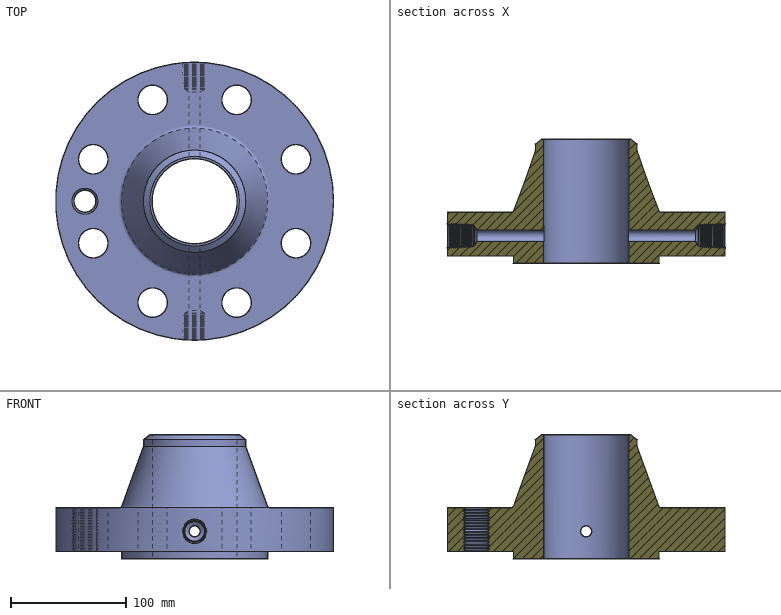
import cadquery as cq
import math


flange_diameter = 241.3
flange_thickness = 38.1
face_diameter = 127.0
face_height = 6.3
flange_top = face_height + flange_thickness

total_height = 107.9
bore_diameter = 73.5
hub_base_diameter = 127.6
hub_fillet_radius = 3.0
weld_end_diameter = 88.8
weld_end_length = 5.8
bevel_height = 4.3
bevel_top_diameter = 77.7

bolt_hole_count = 8
bolt_circle_diameter = 190.5
bolt_hole_diameter = 25.3

jack_minor_diameter = 18.8
jack_major_diameter = 22.5
jack_thread_count = 14

tap_height = face_height + 17.5
tap_mouth_diameter = 21.2
tap_end_diameter = 19.8
tap_thread_depth = 1.33
tap_thread_pitch = 1.8
tap_thread_count = 13
tap_depth = tap_thread_count * tap_thread_pitch
tap_tip_angle = 118.0
tap_passage_diameter = 9.5

run_out = 2.5


def flange_body():
    bevel_bottom = total_height - bevel_height
    cone_top = bevel_bottom - weld_end_length
    profile = (
        cq.Workplane("XZ")
        .lineTo(face_diameter / 2, 0)
        .lineTo(face_diameter / 2, face_height)
        .lineTo(flange_diameter / 2, face_height)
        .lineTo(flange_diameter / 2, flange_top)
        .lineTo(hub_base_diameter / 2, flange_top)
        .lineTo(weld_end_diameter / 2, cone_top)
        .lineTo(weld_end_diameter / 2, bevel_bottom)
        .lineTo(bevel_top_diameter / 2, total_height)
        .lineTo(0, total_height)
        .close()
    )
    body = profile.revolve(360, (0, 0, 0), (0, 1, 0))
    step_face = body.faces(cq.selectors.NearestToPointSelector((0, 0, flange_top)))
    hub_base_edge = step_face.edges(cq.selectors.RadiusNthSelector(0))
    return hub_base_edge.fillet(hub_fillet_radius)


def thread_points(end_radius, mouth_radius, length, count, depth):
    """Zigzag of (radius, height) from a groove bottom at height 0 to one at the mouth."""
    points = []
    half_turns = 2 * count
    for step in range(half_turns + 1):
        share = step / half_turns
        radius = end_radius + share * (mouth_radius - end_radius)
        if step % 2:
            radius -= depth
        points.append((radius, share * length))
    return points


def revolved_cutter(outline):
    """Solid of revolution about Z from (radius, height) points, closed along the axis."""
    bottom = (0, outline[0][1])
    top = (0, outline[-1][1])
    profile = cq.Workplane("XZ").polyline([bottom] + outline + [top]).close()
    return profile.revolve(360, (0, 0, 0), (0, 1, 0))


def bolt_holes():
    first_angle = 180 / bolt_hole_count
    return (
        cq.Workplane("XY")
        .polarArray(bolt_circle_diameter / 2, first_angle, 360, bolt_hole_count)
        .circle(bolt_hole_diameter / 2)
        .extrude(flange_top + run_out)
    )


def jack_screw_hole():
    radius = jack_major_diameter / 2
    depth = (jack_major_diameter - jack_minor_diameter) / 2
    thread = thread_points(radius, radius, flange_thickness, jack_thread_count, depth)
    below = (radius, -run_out)
    above = (radius, flange_thickness + run_out)
    cutter = revolved_cutter([below] + thread + [above])
    return cutter.translate((-bolt_circle_diameter / 2, 0, face_height))


def pressure_tap(side_angle):
    """Threaded tap, drill tip and passage to the bore; side_angle turns +Z to face the rim."""
    mouth_radius = tap_mouth_diameter / 2
    end_radius = tap_end_diameter / 2
    passage_radius = tap_passage_diameter / 2
    drill_radius = end_radius - tap_thread_depth
    tip_length = (drill_radius - passage_radius) / math.tan(math.radians(tap_tip_angle / 2))
    thread_start = flange_diameter / 2 - tap_depth
    passage = [
        (passage_radius, -thread_start),
        (passage_radius, -tip_length),
        (drill_radius, 0),
    ]
    thread = thread_points(end_radius, mouth_radius, tap_depth, tap_thread_count, tap_thread_depth)
    thread_without_first_groove = thread[1:]
    outside = (mouth_radius, tap_depth + run_out)
    cutter = revolved_cutter(passage + thread_without_first_groove + [outside])
    cutter = cutter.translate((0, 0, thread_start))
    cutter = cutter.rotate((0, 0, 0), (1, 0, 0), side_angle)
    return cutter.translate((0, 0, tap_height))


result = flange_body()
result = result.cut(cq.Workplane("XY").circle(bore_diameter / 2).extrude(total_height))
result = result.cut(bolt_holes())
result = result.cut(jack_screw_hole())
for side_angle in (90, -90):
    result = result.cut(pressure_tap(side_angle))